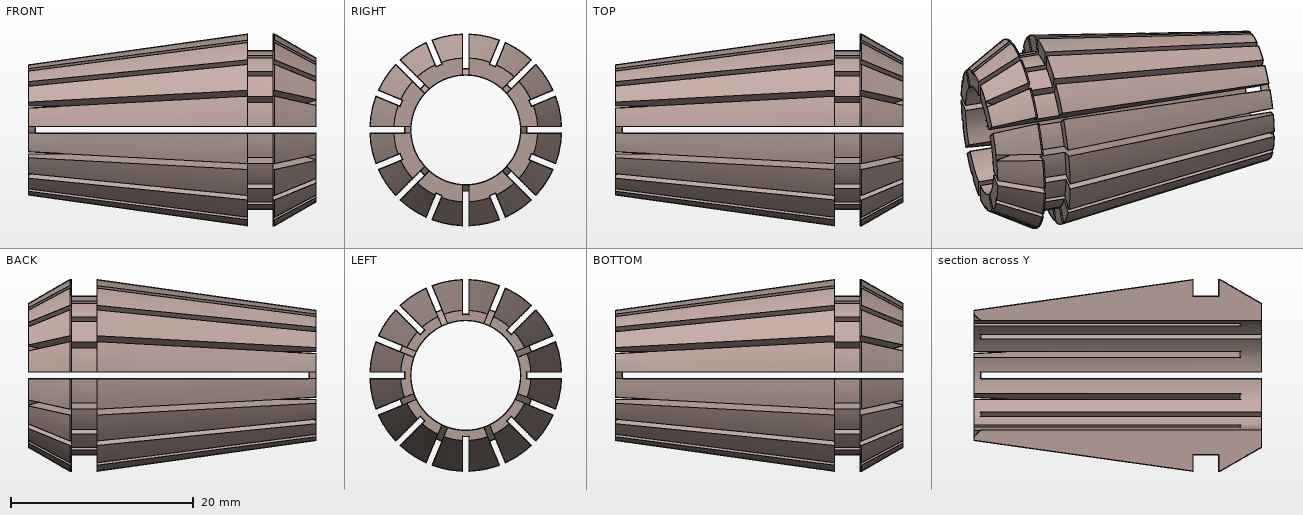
import cadquery as cq
import math

length = 31.5
max_radius = 10.5
bore_radius = 6.0

body_length = 24.0
body_half_angle = 8.0
groove_width = 2.8
groove_radius = 8.7
head_land_width = 0.15
head_half_angle = 30.0

slots_per_set = 8
slot_width = 0.7
front_bridge_slope = 42.0
rear_bridge_slope = 35.0
front_bridge_radius = 6.7
rear_bridge_radius = 7.65

head_start = body_length + groove_width
head_taper_start = head_start + head_land_width
nose_radius = max_radius - body_length * math.tan(math.radians(body_half_angle))
rear_radius = max_radius - (length - head_taper_start) * math.tan(math.radians(head_half_angle))
slot_pitch = 360.0 / slots_per_set
front_bridge_run = front_bridge_radius / math.tan(math.radians(front_bridge_slope))
rear_bridge_run = rear_bridge_radius / math.tan(math.radians(rear_bridge_slope))
cutter_clearance = 1.0
cutter_reach = max_radius + cutter_clearance


def collet_blank():
    """Revolve the hollow, unslotted collet about X."""
    half_section = [
        (0, bore_radius),
        (0, nose_radius),
        (body_length, max_radius),
        (body_length, groove_radius),
        (head_start, groove_radius),
        (head_start, max_radius),
        (head_taper_start, max_radius),
        (length, rear_radius),
        (length, bore_radius),
    ]
    return cq.Workplane("XY").polyline(half_section).close().revolve(360, (0, 0, 0), (1, 0, 0))


def slot_cutter(floor_profile, angle):
    """Radial blade whose inner edge follows a floor profile of (x, radius) points."""
    outline = floor_profile + [(length, cutter_reach), (0, cutter_reach)]
    blade = cq.Workplane("XZ").polyline(outline).close().extrude(slot_width / 2, both=True)
    return blade.rotate((0, 0, 0), (1, 0, 0), angle)


front_floor = [(0, front_bridge_radius), (front_bridge_run, 0), (length, 0)]
rear_floor = [(0, 0), (length - rear_bridge_run, 0), (length, rear_bridge_radius)]

result = collet_blank()
for index in range(slots_per_set):
    angle = index * slot_pitch
    result = result.cut(slot_cutter(front_floor, angle))
    result = result.cut(slot_cutter(rear_floor, angle + slot_pitch / 2))